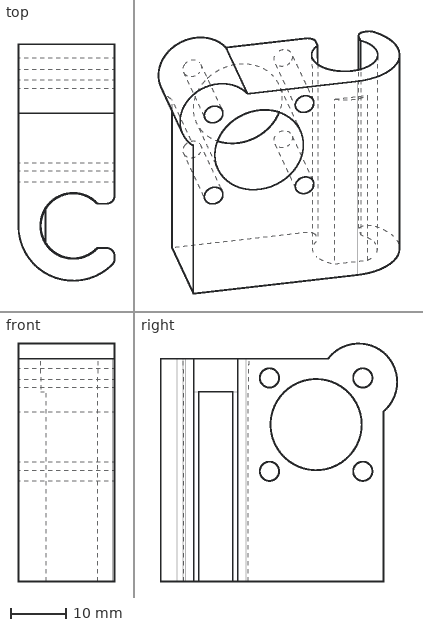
import cadquery as cq
import math

width = 17.5
body_size = 40.5
clip_radius = 10.0
clip_x = clip_radius
clip_y = clip_radius
corner_y = clip_y - math.sqrt(clip_radius**2 - (width - clip_x) ** 2)

boss_radius = 7.0
total_height = 43.25
total_depth = 43.0
boss_y = total_depth - boss_radius
boss_z = total_height - boss_radius

bore_top_radius = 6.0
bore_radius = 5.9
taper_depth = 6.05
flat_distance = 5.0
mouth_width = 8.0
lip_fillet = 1.5

main_hole_radius = 8.25
screw_hole_radius = 1.75
screw_spacing = 16.95
hole_y = 28.25
hole_z = 28.5


def x_cylinder(y, z, radius):
    """Cylinder along X across the full width."""
    return cq.Workplane("YZ").center(y, z).circle(radius).extrude(width)


def make_body():
    """Upright block with its front end rounded about the bore axis."""
    mid_angle = math.radians(225)
    arc_mid = (clip_x + clip_radius * math.cos(mid_angle), clip_y + clip_radius * math.sin(mid_angle))
    return (
        cq.Workplane("XY")
        .moveTo(0, body_size)
        .lineTo(0, clip_y)
        .threePointArc(arc_mid, (width, corner_y))
        .lineTo(width, body_size)
        .close()
        .extrude(body_size)
    )


def make_bore():
    """Round bore with a flat on its -X side, below a full tapered entry."""
    taper_start = body_size - taper_depth
    flat_length = flat_distance + bore_radius
    lower = cq.Workplane("XY").center(clip_x, clip_y).circle(bore_radius).extrude(taper_start)
    keep = cq.Workplane("XY").box(flat_length, 2 * bore_radius, taper_start, centered=(False, True, False))
    lower = lower.intersect(keep.translate((clip_x - flat_distance, clip_y, 0)))
    entry = (
        cq.Workplane("XY", origin=(clip_x, clip_y, taper_start))
        .circle(bore_radius)
        .workplane(offset=taper_depth)
        .circle(bore_top_radius)
        .loft()
    )
    return lower.union(entry)


def make_mouth():
    """Slot from the bore axis out through the +X face."""
    slot = cq.Workplane("XY").box(width - clip_x, mouth_width, body_size, centered=(False, True, False))
    return slot.translate((clip_x, clip_y, 0))


def round_lip(solid, y):
    """Round the vertical edge nearest the given Y on the +X face."""
    edge = cq.selectors.NearestToPointSelector((width, y, body_size / 2))
    return solid.edges(edge).fillet(lip_fillet)


body = make_body().cut(make_mouth())
for lip_y in (clip_y - mouth_width / 2, clip_y + mouth_width / 2, corner_y):
    body = round_lip(body, lip_y)
body = body.cut(make_bore())

result = body.union(x_cylinder(boss_y, boss_z, boss_radius))
result = result.cut(x_cylinder(hole_y, hole_z, main_hole_radius))
for y_side in (-1, 1):
    for z_side in (-1, 1):
        screw_y = hole_y + y_side * screw_spacing / 2
        screw_z = hole_z + z_side * screw_spacing / 2
        result = result.cut(x_cylinder(screw_y, screw_z, screw_hole_radius))